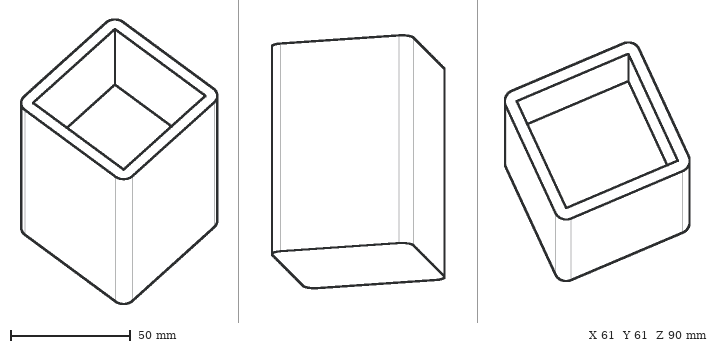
import cadquery as cq

outer_side = 61.0
height = 90.0
wall = 5.0
corner_radius = 5.0
pocket_depth = 40.0

pocket_side = outer_side - 2 * wall


def make_body():
    """Square block standing on Z = 0 with rounded upright edges."""
    block = cq.Workplane("XY").box(outer_side, outer_side, height, centered=(True, True, False))
    return block.edges("|Z").fillet(corner_radius)


def cut_pocket(body):
    """Sharp-cornered square pocket, blind from the top face."""
    return body.faces(">Z").workplane().rect(pocket_side, pocket_side).cutBlind(-pocket_depth)


result = cut_pocket(make_body())